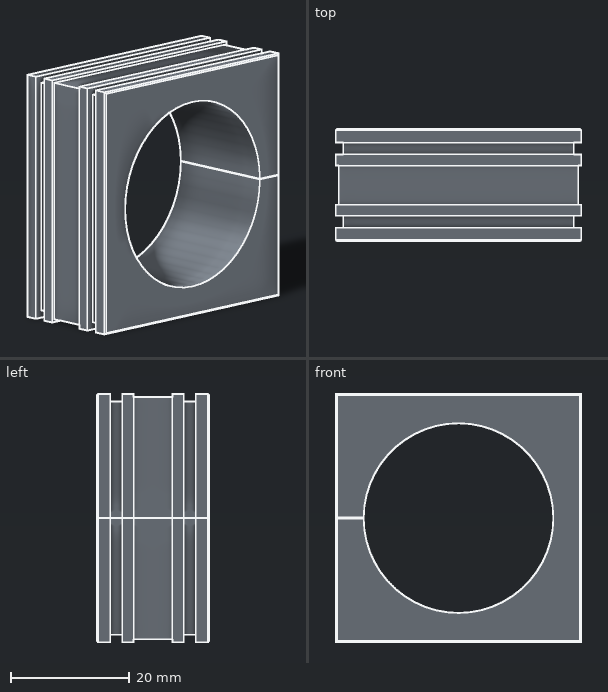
import cadquery as cq

width = 41.5
depth = 19.0
height = 42.0
bore_diameter = 32.0
edge_chamfer = 0.25

flange_thickness = 2.3
groove_width = 1.97
groove_depth = 1.25
rib_thickness = 1.95
waist_recess = 0.5

slit_width = 0.13

groove_offset = depth / 2 - flange_thickness - groove_width / 2
waist_length = depth - 2 * (flange_thickness + groove_width + rib_thickness)


def perimeter_channel(center_y, channel_width, channel_depth):
    """Rectangular frame that cuts a channel around all four outer sides."""
    outer = cq.Workplane("XY").box(width, channel_width, height)
    core = cq.Workplane("XY").box(
        width - 2 * channel_depth, channel_width, height - 2 * channel_depth
    )
    return outer.cut(core).translate((0, center_y, 0))


body = cq.Workplane("XY").box(width, depth, height)
body = body.faces("<Y or >Y").edges().chamfer(edge_chamfer)

for side in (-1, 1):
    body = body.cut(perimeter_channel(side * groove_offset, groove_width, groove_depth))
body = body.cut(perimeter_channel(0, waist_length, waist_recess))

bore = cq.Workplane("XZ").circle(bore_diameter / 2).extrude(depth / 2, both=True)
body = body.cut(bore)

slit = cq.Workplane("XY").box(width / 2, depth, slit_width).translate((-width / 4, 0, 0))
result = body.cut(slit)